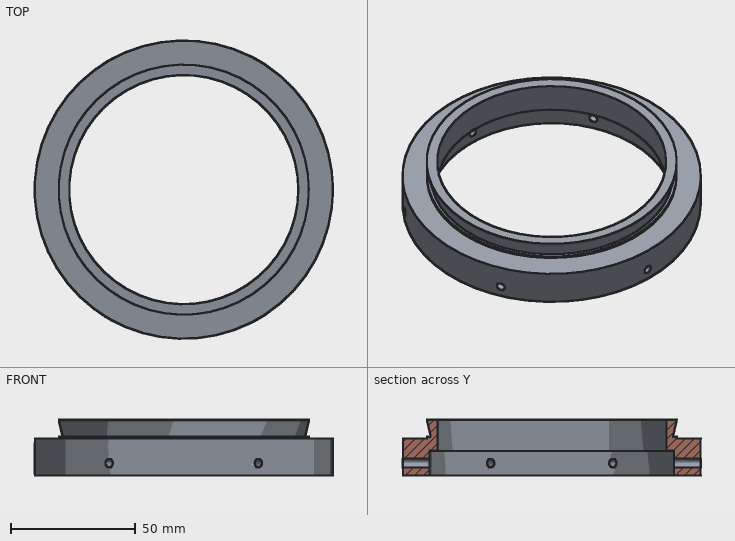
import cadquery as cq

flange_diameter = 120.0
flange_height = 15.0
total_height = 22.5

collar_diameter = 100.5
neck_diameter = 97.7
land_height = 0.7

bore_diameter = 92.0
recess_diameter = 98.3
recess_depth = 10.0

hole_diameter = 3.4
hole_count = 6
hole_height = 5.0


def make_ring():
    """Revolve the ring's section about Z."""
    flange_radius = flange_diameter / 2
    collar_radius = collar_diameter / 2
    neck_radius = neck_diameter / 2
    bore_radius = bore_diameter / 2
    recess_radius = recess_diameter / 2
    section = (
        cq.Workplane("XZ")
        .moveTo(recess_radius, 0)
        .lineTo(flange_radius, 0)
        .lineTo(flange_radius, flange_height)
        .lineTo(collar_radius, flange_height)
        .lineTo(collar_radius, flange_height + land_height)
        .lineTo(neck_radius, flange_height + land_height)
        .lineTo(collar_radius, total_height - land_height)
        .lineTo(collar_radius, total_height)
        .lineTo(bore_radius, total_height)
        .lineTo(bore_radius, recess_depth)
        .lineTo(recess_radius, recess_depth)
        .close()
    )
    return section.revolve(360, (0, 0, 0), (0, 1, 0))


def drill_radial_holes(ring):
    """Drill evenly spaced holes from the axis outward, starting on +X."""
    drill = (
        cq.Workplane("YZ")
        .center(0, hole_height)
        .circle(hole_diameter / 2)
        .extrude(flange_diameter)
    )
    for index in range(hole_count):
        angle = index * 360 / hole_count
        ring = ring.cut(drill.rotate((0, 0, 0), (0, 0, 1), angle))
    return ring


result = drill_radial_holes(make_ring())